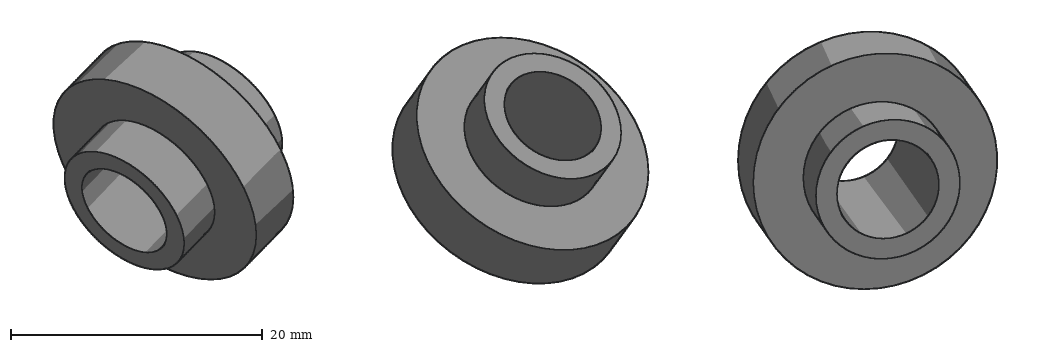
import cadquery as cq

flange_diameter = 20.0
flange_width = 5.0
hub_diameter = 11.8
hub_length = 13.2
bore_diameter = 8.35


def centred_cylinder(diameter, length):
    """Solid cylinder along Y, centred on the origin."""
    return cq.Workplane("XZ").cylinder(length, diameter / 2)


flange = centred_cylinder(flange_diameter, flange_width)
hub = centred_cylinder(hub_diameter, hub_length)
bore = centred_cylinder(bore_diameter, hub_length)

result = flange.union(hub).cut(bore)